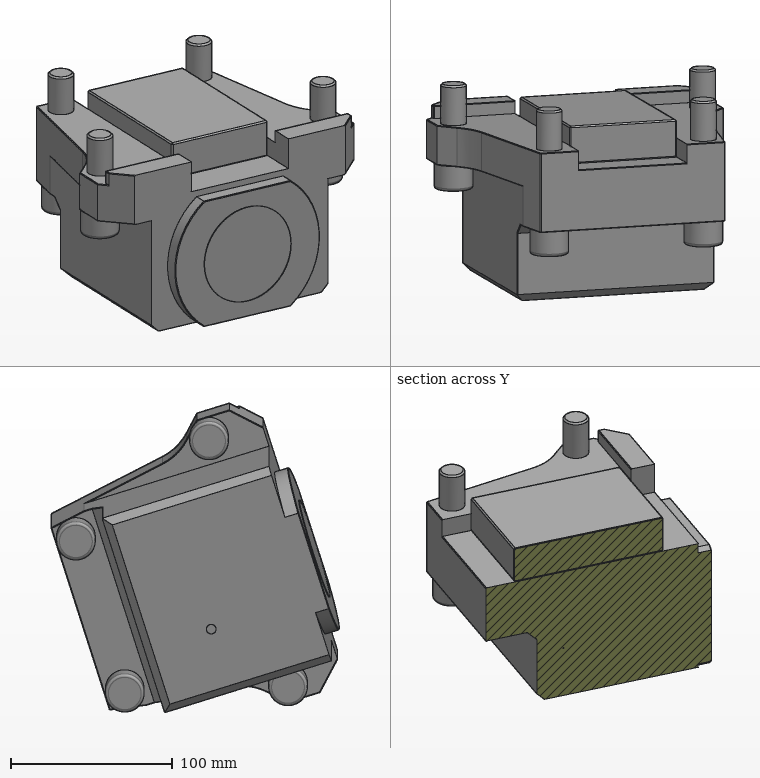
import cadquery as cq
import math


PLATE_LENGTH = 142.5
PLATE_THICKNESS = 25.0
NARROW_WIDTH = 120.0
WIDE_WIDTH = 186.0
TAPER_ANGLE = 10.0
SHOULDER_X = 104.9
CORNER_CHAMFER = 16.5
BLEND_RADIUS = 35.0
EDGE_BREAK = 0.5

BODY_WIDTH = 128.0
BODY_DEPTH = 100.0
BODY_START_X = 34.5
BODY_CHAMFER = 5.0
FOOT_DEPTH = 50.0
FOOT_RELIEF = 6.5

CHANNEL_WIDTH = 70.3
CHANNEL_DEPTH = 11.9
KEY_START_X = 19.0
KEY_LENGTH = 100.0
KEY_WIDTH = 69.5
KEY_HEIGHT = 11.9
KEY_CHAMFER = 1.0

LEDGE_START_X = 126.7
LEDGE_WIDTH = 176.0
LEDGE_HEIGHT = 8.0

FLANGE_RADIUS = 52.5
FLANGE_FLATS = 84.0
FLANGE_THICKNESS = 9.0
DISC_RADIUS = 31.5
DISC_THICKNESS = 0.5
FLANGE_Z = FLANGE_FLATS / 2 - BODY_DEPTH

SHANK_DIAMETER = 16.0
SHANK_PROTRUSION = 25.0
SHANK_CHAMFER = 1.1
HEAD_DIAMETER = 24.0
HEAD_HEIGHT = 16.0
HEAD_FILLET = 1.9
NARROW_SCREW_X = 13.0
NARROW_SCREW_Y = 50.0
WIDE_SCREW_X = 109.0
WIDE_SCREW_Y = 81.0

BUTTON_X = 78.0
BUTTON_Y = 21.8
BUTTON_DIAMETER = 6.0
BUTTON_HEIGHT = 0.5


def plate_prism(depth):
    """Symmetric plate outline extruded down from the plate top."""
    half_narrow = NARROW_WIDTH / 2
    half_wide = WIDE_WIDTH / 2
    slope = math.tan(math.radians(TAPER_ANGLE))
    waist_x = (half_narrow - half_wide + SHOULDER_X) / (1 - slope)
    waist_y = half_narrow + slope * waist_x
    side = [
        (0, half_narrow),
        (waist_x, waist_y),
        (SHOULDER_X, half_wide),
        (PLATE_LENGTH - CORNER_CHAMFER, half_wide),
        (PLATE_LENGTH, half_wide - CORNER_CHAMFER),
    ]
    mirrored = [(x, -y) for x, y in reversed(side)]
    prism = cq.Workplane("XY").polyline(side + mirrored).close().extrude(-depth)
    for y in (-waist_y, waist_y):
        waist_edge = cq.selectors.NearestToPointSelector((waist_x, y, -depth / 2))
        prism = prism.edges(waist_edge).fillet(BLEND_RADIUS)
    return prism


def body():
    """Body and foot, trimmed to the taper of the plate."""
    block = (
        cq.Workplane("XZ")
        .moveTo(0, 0)
        .lineTo(PLATE_LENGTH, 0)
        .lineTo(PLATE_LENGTH, -BODY_DEPTH)
        .lineTo(BODY_START_X, -BODY_DEPTH)
        .lineTo(BODY_START_X, -FOOT_DEPTH - FOOT_RELIEF)
        .lineTo(BODY_START_X - FOOT_RELIEF, -FOOT_DEPTH)
        .lineTo(0, -FOOT_DEPTH)
        .close()
        .extrude(BODY_WIDTH / 2, both=True)
    )
    block = block.faces("<Z").edges("not >X").chamfer(BODY_CHAMFER)
    return block.intersect(plate_prism(BODY_DEPTH))


def plate_with_body():
    """Plate and body joined, with every long outer edge broken except at the wide end."""
    plate = plate_prism(PLATE_THICKNESS).faces("<Z").edges("not >X").chamfer(EDGE_BREAK)
    shape = plate.union(body())
    profile_depth = BODY_DEPTH - BODY_CHAMFER
    profile_edges = [
        shape.edges(
            cq.selectors.BoxSelector(
                (EDGE_BREAK, side * NARROW_WIDTH / 2, -profile_depth),
                (BODY_START_X + EDGE_BREAK, side * BODY_WIDTH, EDGE_BREAK - FOOT_DEPTH),
            )
        )
        for side in (-1, 1)
    ]
    broken = shape.faces(">Z").edges("not >X").add(shape.faces("<X").edges("not >Z"))
    for edges in profile_edges:
        broken = broken.add(edges)
    return broken.chamfer(EDGE_BREAK)


def ledge():
    """Ledge sunk just deep enough to stand flush over the broken plate edge."""
    blank = (
        cq.Workplane("XY")
        .box(PLATE_LENGTH, LEDGE_WIDTH, LEDGE_HEIGHT + EDGE_BREAK, centered=(False, True, False))
        .translate((LEDGE_START_X, 0, -EDGE_BREAK))
    )
    outline = plate_prism(LEDGE_HEIGHT + EDGE_BREAK).translate((0, 0, LEDGE_HEIGHT))
    bar = blank.intersect(outline)
    exposed = bar.faces(">Z").edges("not >X").add(bar.faces("<X").edges("|Z"))
    return exposed.chamfer(EDGE_BREAK)


def channel():
    """Cutter for the channel, tall enough to split the ledge."""
    return (
        cq.Workplane("XY")
        .box(PLATE_LENGTH, CHANNEL_WIDTH, CHANNEL_DEPTH + LEDGE_HEIGHT, centered=(False, True, False))
        .translate((0, 0, -CHANNEL_DEPTH))
    )


def key():
    """Key resting on the channel floor, chamfered all round."""
    bar = (
        cq.Workplane("XY")
        .box(KEY_LENGTH, KEY_WIDTH, KEY_HEIGHT + CHANNEL_DEPTH, centered=(False, True, False))
        .translate((KEY_START_X, 0, -CHANNEL_DEPTH))
    )
    return bar.edges().chamfer(KEY_CHAMFER)


def flange():
    """Flange with flats above and below, and the disc on its face."""
    end_face = cq.Workplane("YZ", origin=(PLATE_LENGTH, 0, FLANGE_Z))
    flats = end_face.rect(2 * FLANGE_RADIUS, FLANGE_FLATS).extrude(FLANGE_THICKNESS)
    ring = end_face.circle(FLANGE_RADIUS).extrude(FLANGE_THICKNESS).intersect(flats)
    ring = ring.faces(">X").edges().chamfer(EDGE_BREAK)
    disc = end_face.circle(DISC_RADIUS).extrude(FLANGE_THICKNESS + DISC_THICKNESS)
    return ring.union(disc)


def screw(x, y, seat_depth):
    """Screw whose head bears on the underside at seat_depth."""
    seat = cq.Workplane("XY", origin=(x, y, -seat_depth))
    head = seat.circle(HEAD_DIAMETER / 2).extrude(-HEAD_HEIGHT)
    head = head.faces("<Z").edges().fillet(HEAD_FILLET)
    shank = seat.circle(SHANK_DIAMETER / 2).extrude(seat_depth + SHANK_PROTRUSION)
    return head.union(shank.faces(">Z").edges().chamfer(SHANK_CHAMFER))


def button():
    """Low round button on the underside of the body."""
    underside = cq.Workplane("XY", origin=(BUTTON_X, BUTTON_Y, -BODY_DEPTH))
    return underside.circle(BUTTON_DIAMETER / 2).extrude(-BUTTON_HEIGHT)


result = plate_with_body().union(ledge()).cut(channel())
channel_lip = cq.selectors.NearestToPointSelector((0, 0, -CHANNEL_DEPTH))
result = result.edges(channel_lip).chamfer(EDGE_BREAK)
result = result.union(key()).union(flange()).union(button())
for side in (-1, 1):
    result = result.union(screw(NARROW_SCREW_X, side * NARROW_SCREW_Y, FOOT_DEPTH))
    result = result.union(screw(WIDE_SCREW_X, side * WIDE_SCREW_Y, PLATE_THICKNESS))